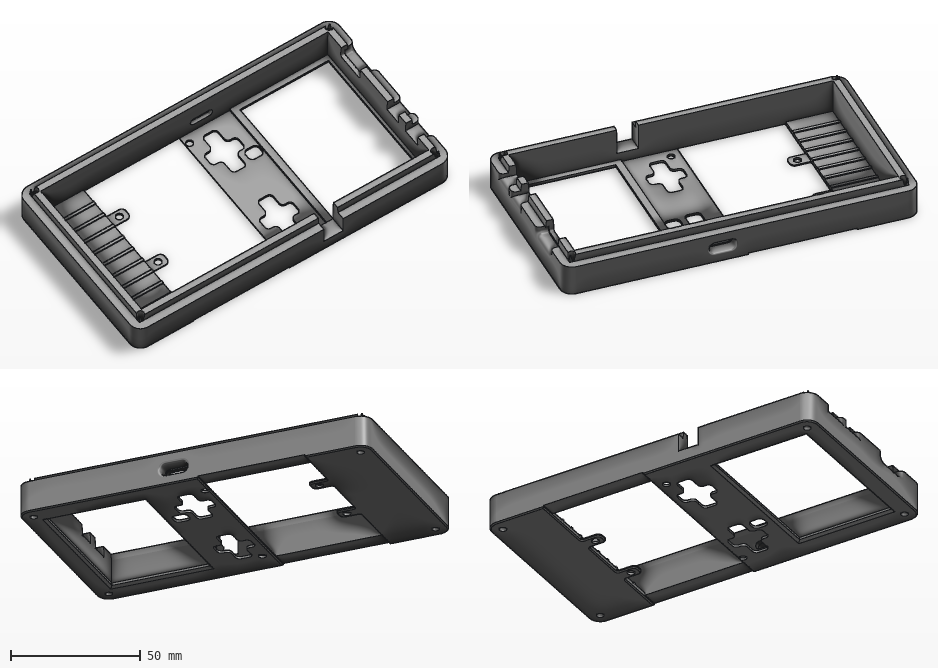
import cadquery as cq
width = 82.0
length = 148.0
height = 16.1
corner_radius = 5.0
wall = 7.0
lip_height = 3.0
lip_inset = 3.5
lip_taper = 0.3
panel_thickness = 1.0
bottom_chamfer = 0.5
shoulder_z = height - lip_height
inner_width = width - 2 * wall
inner_length = length - 2 * wall
inner_back_y = inner_length / 2
cut_margin = 1.5
pick_margin = 0.1

panel_split_y = 21.0
panel_front_y = -2.5
grille_back_y = -47.5
screen_frame_top = 2 * panel_thickness
screen_width = 63.0
screen_front_y = 24.1
screen_back_y = 65.7
screen_chamfer = panel_thickness

cross_length = 21.3
cross_height = 15.7
cross_arm_x = 6.5
cross_arm_y = 6.7
cross_radius = 1.8
cross_y = 8.3
cross_centres = ((-19.1, cross_y), (18.4, cross_y))
pill_width = 5.6
pill_length = 6.5
pill_radius = 2.0
pill_centre = (-12.1, 17.3)
screw_diameter = 3.1
panel_screws = ((-29.9, -0.6), (30.2, 1.6))

grille_top = 2 * panel_thickness
bar_top = 2.5
bar_count = 9
bar_width = 1.3
bar_span = 52.7
tab_centres_x = (-16.3, 10.0)
tab_width = 5.6
tab_tip_y = -39.2
tab_tip_radius = 2.0
tab_root_radius = 0.9
tab_screw_y = -42.9

pin_diameter = 3.0
pin_x = 36.0
pin_y = 69.0

notch_edge_radius = 2.0
plain_notches = ((10.2, 7.7), (23.0, 8.1))
plain_notch_floor = 11.4
socket_x = -18.6
socket_inner_width = 13.0
socket_inner_floor = 10.8
socket_inner_radius = 1.0
socket_step = 0.9
socket_corner_radius = 2.0
recess_depth = 5.0

side_notch_front_y = 13.6
side_notch_back_y = 22.6
side_notch_floor = 5.3

port_y = 7.8
port_z = 6.7
port_length = 11.5
port_height = 4.7
port_step = 0.6
port_edge_radius = 0.96


def block(x0, x1, y0, y1, z0, z1):
    """Axis-aligned box between two corners."""
    return cq.Workplane("XY").box(x1 - x0, y1 - y0, z1 - z0, centered=False).translate((x0, y0, z0))


def rounded_slab(z0, z1):
    """Slab with the rounded outline of the case."""
    slab = cq.Workplane("XY").workplane(offset=z0).rect(width, length).extrude(z1 - z0)
    return slab.edges("|Z").fillet(corner_radius)


def tapered_block(x_size, y_size, x_top, y_top):
    """Rectangular block over the lip height, changing size from bottom to top."""
    lower = cq.Workplane("XY").workplane(offset=shoulder_z).rect(x_size, y_size)
    return lower.workplane(offset=lip_height).rect(x_top, y_top).loft(combine=True)


def make_walls():
    walls = rounded_slab(panel_thickness, shoulder_z)
    return walls.cut(cq.Workplane("XY").rect(inner_width, inner_length).extrude(height))


def make_lip():
    lip_width = width - 2 * lip_inset
    lip_length = length - 2 * lip_inset
    shrink = 2 * lip_taper
    outside = tapered_block(lip_width, lip_length, lip_width - shrink, lip_length - shrink)
    inside = tapered_block(inner_width, inner_length, inner_width + shrink, inner_length + shrink)
    return outside.cut(inside)


def make_tab(x):
    """Tab reaching back from the grille, rounded at its tip."""
    half = tab_width / 2
    overlap = 2 * tab_width
    tab = block(x - half, x + half, grille_back_y - overlap, tab_tip_y, 0, panel_thickness)
    return tab.edges("|Z and >Y").fillet(tab_tip_radius)


def round_tab_root(panels, edge_x):
    """Flare one side of a tab where it meets the grille."""
    region = cq.selectors.BoxSelector(
        (edge_x - pick_margin, grille_back_y - pick_margin, -pick_margin),
        (edge_x + pick_margin, grille_back_y + pick_margin, height),
    )
    return panels.edges(region).edges("|Z").fillet(tab_root_radius)


def make_panels():
    """Bottom layer: one panel behind and one in front of the open bay, chamfered underneath."""
    bay = block(-width, width, grille_back_y, panel_front_y, 0, panel_thickness)
    panels = rounded_slab(0, panel_thickness).cut(bay)
    for x in tab_centres_x:
        panels = panels.union(make_tab(x))
    for x in tab_centres_x:
        for side in (-1, 1):
            panels = round_tab_root(panels, x + side * tab_width / 2)
    return panels.faces("<Z").chamfer(bottom_chamfer)


def make_screen_frame():
    half = inner_width / 2
    return block(-half, half, panel_split_y, inner_back_y, panel_thickness, screen_frame_top)


def make_grille():
    """Thick plate across the front of the case, crossed by raised bars running front to back."""
    half = inner_width / 2
    grille = block(-half, half, -inner_back_y, grille_back_y, panel_thickness, grille_top)
    for i in range(bar_count):
        left = -bar_span / 2 + i * bar_span / (bar_count - 1) - bar_width / 2
        bar = block(left, left + bar_width, -inner_back_y, grille_back_y, panel_thickness, bar_top)
        grille = grille.union(bar)
    return grille


def cut_screen_window(body):
    """Screen window, widened by a chamfer on the underside."""
    screen_height = screen_back_y - screen_front_y
    centre_y = (screen_front_y + screen_back_y) / 2
    half = screen_width / 2
    body = body.cut(block(-half, half, screen_front_y, screen_back_y, 0, height))
    flare = cq.Workplane("XY").center(0, centre_y)
    flare = flare.rect(screen_width + 2 * screen_chamfer, screen_height + 2 * screen_chamfer)
    flare = flare.workplane(offset=screen_chamfer).rect(screen_width, screen_height).loft()
    return body.cut(flare)


def make_cross(centre):
    def arm(x_size, y_size):
        return cq.Workplane("XY").center(*centre).rect(x_size, y_size).extrude(panel_thickness)

    cross = arm(cross_length, cross_arm_y).union(arm(cross_arm_x, cross_height))
    return cross.edges("|Z").fillet(cross_radius)


def round_holes(points, diameter, depth):
    return cq.Workplane("XY").pushPoints(points).circle(diameter / 2).extrude(depth)


def cut_panel_openings(body):
    for centre in cross_centres:
        body = body.cut(make_cross(centre))
    pill = cq.Workplane("XY").center(*pill_centre).rect(pill_width, pill_length)
    body = body.cut(pill.extrude(panel_thickness).edges("|Z").fillet(pill_radius))
    tab_screws = [(x, tab_screw_y) for x in tab_centres_x]
    return body.cut(round_holes([*panel_screws, *tab_screws], screw_diameter, panel_thickness))


def round_back_edges(body, x, opening_width, floor_z):
    """Round the edges where a notch meets the outside of the back wall."""
    half = opening_width / 2 + pick_margin
    region = cq.selectors.BoxSelector(
        (x - half, length / 2 - pick_margin, floor_z - pick_margin),
        (x + half, length / 2 + pick_margin, shoulder_z - pick_margin),
    )
    return body.edges(region).fillet(notch_edge_radius)


def cut_plain_notches(body):
    for x, opening in plain_notches:
        half = opening / 2
        notch = block(x - half, x + half, inner_back_y - cut_margin, length, plain_notch_floor, height)
        body = round_back_edges(body.cut(notch), x, opening, plain_notch_floor)
    return body


def cut_socket(body):
    """Stepped socket in the back wall: a wide recess outside, a narrower opening inside."""
    half = socket_inner_width / 2
    inner = block(
        socket_x - half, socket_x + half,
        inner_back_y - cut_margin, length, socket_inner_floor, height,
    )
    inner = inner.edges("|Y and <Z").fillet(socket_inner_radius)
    recess_half = half + socket_step
    recess_floor = socket_inner_floor - socket_step
    recess = block(
        socket_x - recess_half, socket_x + recess_half,
        length / 2 - recess_depth, length, recess_floor, shoulder_z,
    )
    recess = recess.edges("|Y and <Z").fillet(socket_corner_radius)
    return round_back_edges(body.cut(inner).cut(recess), socket_x, 2 * recess_half, recess_floor)


def cut_port(body):
    """Pill opening in the left wall with a rounded mouth and a smaller inner opening."""
    left = -width / 2

    def pill(depth, shrink):
        profile = cq.Workplane("YZ", origin=(left, port_y, port_z))
        return profile.slot2D(port_length - 2 * shrink, port_height - 2 * shrink).extrude(depth)

    body = body.cut(pill(recess_depth, 0))
    mouth = cq.selectors.BoxSelector(
        (left - pick_margin, port_y - port_length, port_z - port_height),
        (left + pick_margin, port_y + port_length, port_z + port_height),
    )
    body = body.edges(mouth).fillet(port_edge_radius)
    return body.cut(pill(2 * wall, port_step))


def cut_side_notch(body):
    notch = block(
        inner_width / 2 - cut_margin, width,
        side_notch_front_y, side_notch_back_y, side_notch_floor, height,
    )
    return body.cut(notch)


def cut_pin_holes(body):
    corners = [(x, y) for x in (-pin_x, pin_x) for y in (-pin_y, pin_y)]
    return body.cut(round_holes(corners, pin_diameter, height))


result = make_walls().union(make_lip()).union(make_panels(), clean=False)
result = result.union(make_screen_frame()).union(make_grille())
result = cut_plain_notches(result)
result = cut_socket(result)
result = cut_port(result)
result = cut_side_notch(result)
result = cut_screen_window(result)
result = cut_panel_openings(result)
result = cut_pin_holes(result)